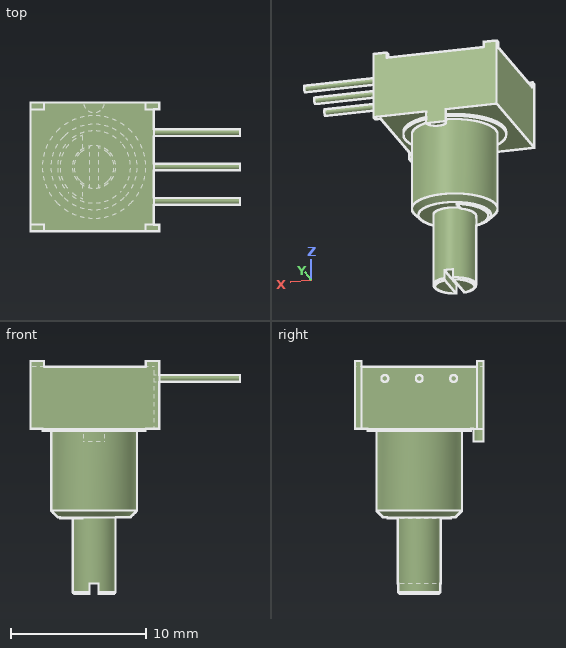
import cadquery as cq

body_size = 9.53
body_left = -4.70
body_right = body_left + body_size
standoff_height = 0.41
body_height = 4.6
corner_length = 1.02
corner_width = 0.51

flange_diameter = 7.62
flange_thickness = 0.16
bushing_diameter = 6.35
bushing_depth = 6.54
bushing_chamfer = 0.49
shaft_diameter = 3.18
overall_height = 17.21
shaft_depth = overall_height - body_height - standoff_height
shaft_chamfer = 0.13

slot_width = 0.65
slot_depth = 0.76

segment_radius = 2.5
segment_chord_x = -0.84
segment_thickness = 0.08

peg_radius = 0.76
peg_length = 0.94

overall_length = 15.49
lead_diameter = 0.51
lead_pitch = 2.54
lead_count = 3
lead_drop = 1.29
lead_z = body_height + standoff_height - lead_drop
lead_end = body_left + overall_length


def box(x_min, x_max, y_min, y_max, z_min, z_max):
    """Axis-aligned block between the given limits."""
    origin_box = cq.Workplane("XY").box(x_max - x_min, y_max - y_min, z_max - z_min, centered=False)
    return origin_box.translate((x_min, y_min, z_min))


def downward_cylinder(diameter, depth):
    """Cylinder on the shaft axis, hanging from the housing underside."""
    return cq.Workplane("XY").circle(diameter / 2).extrude(-depth)


def make_housing():
    """Block with four corner standoffs on top and two edge ribs on the +X face."""
    half = body_size / 2
    recessed_face = body_right - standoff_height
    housing = box(body_left, recessed_face, -half, half, 0, body_height)
    for y_min in (-half, half - corner_width):
        y_max = y_min + corner_width
        rib = box(recessed_face, body_right, y_min, y_max, 0, body_height)
        housing = housing.union(rib)
        for x_min in (body_left, body_right - corner_length):
            x_max = x_min + corner_length
            standoff = box(x_min, x_max, y_min, y_max, body_height, body_height + standoff_height)
            housing = housing.union(standoff)
    return housing


def make_bushing():
    """Mounting flange and bushing with a chamfered end."""
    flange = downward_cylinder(flange_diameter, flange_thickness)
    bushing = downward_cylinder(bushing_diameter, bushing_depth)
    return flange.union(bushing.faces("<Z").chamfer(bushing_chamfer))


def make_segment():
    """Thin disc segment on the -X side of the bushing end."""
    depth = bushing_depth + segment_thickness
    disc = downward_cylinder(2 * segment_radius, depth)
    keep = box(-segment_radius, segment_chord_x, -segment_radius, segment_radius, -depth, -bushing_depth)
    return disc.intersect(keep)


def make_shaft():
    """Shaft with a chamfered end and a slot running along Y."""
    shaft = downward_cylinder(shaft_diameter, shaft_depth)
    shaft = shaft.faces("<Z").chamfer(shaft_chamfer)
    slot = box(
        -slot_width / 2, slot_width / 2,
        -shaft_diameter, shaft_diameter,
        -shaft_depth, -shaft_depth + slot_depth,
    )
    return shaft.cut(slot)


def make_peg():
    """Half-round peg under the housing, its flat flush with the +Y face."""
    face_y = body_size / 2
    rod = cq.Workplane("XY").center(0, face_y).circle(peg_radius).extrude(-peg_length)
    return rod.intersect(box(-peg_radius, peg_radius, 0, face_y, -peg_length, 0))


def make_leads():
    """Row of round leads running out along +X, rooted inside the housing at X = 0."""
    first_y = -(lead_count - 1) * lead_pitch / 2
    positions = [(first_y + i * lead_pitch, lead_z) for i in range(lead_count)]
    return cq.Workplane("YZ").pushPoints(positions).circle(lead_diameter / 2).extrude(lead_end)


result = make_housing()
for feature in (make_bushing(), make_segment(), make_shaft(), make_peg(), make_leads()):
    result = result.union(feature)